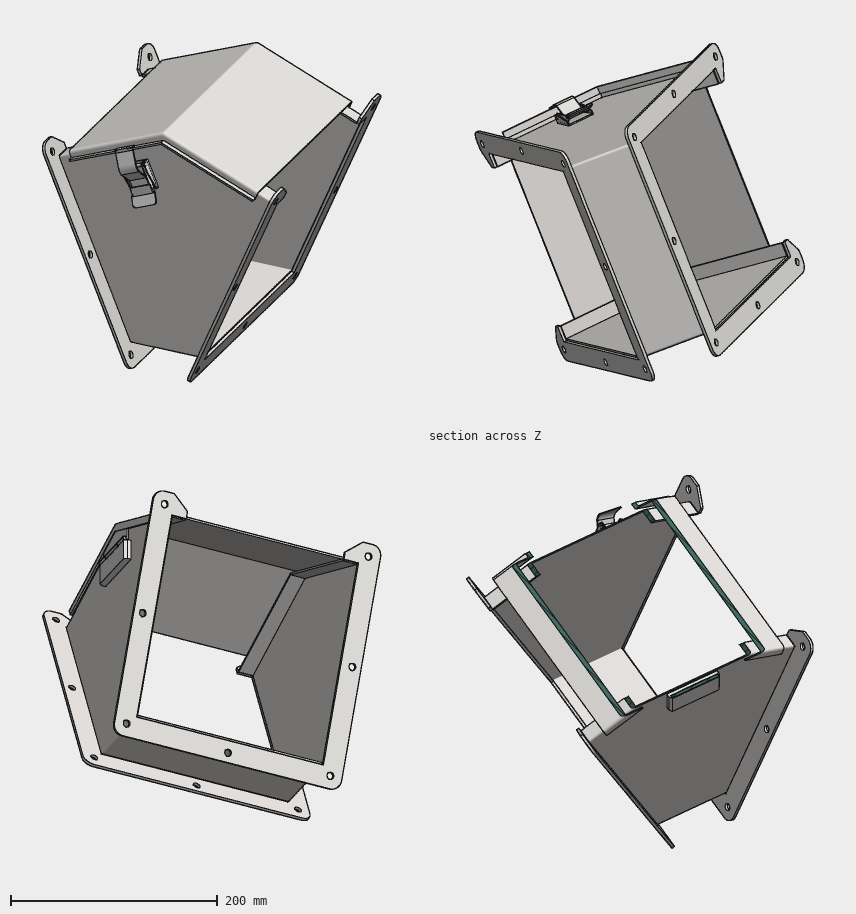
import cadquery as cq
import math

HALF_X = 125.82
HALF_Z = 130.7
TILT = 22.5
SIN = math.sin(math.radians(TILT))
COS = math.cos(math.radians(TILT))
TAN = SIN / COS
OVERCUT = 26.1

FLANGE_SIDE = 244.5
FLANGE_T = 3.0
FLANGE_CORNER_R = 10.5
WINDOW_HALF = 100.5
WINDOW_LOW = 21.5
WINDOW_HIGH = 223.5
TAB_TIP = 85.0
TAB_ROOT = 102.0
TAB_TIP_HEIGHT = 230.5
HOLE_DIA = 7.0
CORNER_HOLE_INSET = 12.5
EDGE_HOLE_INSET = 9.5

SHEET_T = 2.0
BEND_INNER_R = 0.5
BEND_OUTER_R = BEND_INNER_R + SHEET_T
DUCT_FRONT = -102.5
DUCT_REAR = WINDOW_HALF
DUCT_BOTTOM = -109.5
DUCT_ROOF_DEPTH = 5.2
ROOF_RETURN_EDGE = 85.0

LID_T = SHEET_T
LID_BEND_R = 3.5
CREASE_R = 4.0
CREASE_RISE = CREASE_R * (1 / COS - 1)
LID_APEX = HALF_Z + CREASE_RISE
LID_HALF_X = 101.5
LID_FRONT = -109.0
LID_REAR = 104.5
SKIRT_DEPTH = 9.1
LIP_T = 1.8
LIP_FRONT = -114.2

PIN_Y = 106.5
PIN_Z = 98.5
KNUCKLE_DIA = 4.7
HINGE_PIN_DIA = 3.1
HINGE_HALF = 26.1
MIDDLE_KNUCKLE_HALF = 13.0
LID_LEAF_T = 1.3
WALL_LEAF_HALF = 28.2
WALL_LEAF_FRONT = 107.7
WALL_LEAF_TAPER = 3.1
WALL_LEAF_TAPER_WIDTH = 2.0
WALL_LEAF_LOW = 75.0

LATCH_X = -39.0
LIP_EDGE = LIP_FRONT - DUCT_FRONT
HOOK_HALF = 10.0
HOOK_T = 1.3
HOOK_BACK = -8.0
HANDLE_HALF = 13.3
HANDLE_CORNER_R = 3.1
STEP_HALF = 11.5
EAR_T = 1.0
BASE_T = 1.3
BASE_HALF = 13.8
BASE_TOP = -16.2
BASE_BOTTOM = -46.5
LATCH_PIN_DIA = 3.5
LATCH_PIN_Y = -5.7
LATCH_PIN_Z = -18.8


def roof_z(depth, x=0.0):
    """Height of the roof slope lying `depth` below the lid's top face."""
    return LID_APEX - depth / COS - abs(x) * TAN


def extrude_y(points, y_from, y_to):
    """Prism along Y over an outline in X and Z."""
    sketch = cq.Workplane("XZ", origin=(0, y_from, 0)).polyline(points).close()
    return sketch.extrude(y_from - y_to)


def block(x_from, x_to, y_from, y_to, z_from, z_to):
    size = (x_to - x_from, y_to - y_from, z_to - z_from)
    return cq.Workplane("XY").box(*size, centered=False).translate((x_from, y_from, z_from))


def rod_x(dia, x_from, x_to, y, z):
    return cq.Workplane("YZ", origin=(x_from, y, z)).circle(dia / 2).extrude(x_to - x_from)


def make_left_flange():
    foot = (FLANGE_SIDE * SIN - HALF_X, 0, -HALF_Z)
    plane = cq.Plane(origin=foot, xDir=(-SIN, 0, COS), normal=(COS, 0, SIN))
    half = FLANGE_SIDE / 2
    flange = (
        cq.Workplane(plane)
        .moveTo(half, 0)
        .rect(FLANGE_SIDE, FLANGE_SIDE)
        .extrude(FLANGE_T)
        .edges(cq.selectors.ParallelDirSelector(cq.Vector(COS, 0, SIN)))
        .fillet(FLANGE_CORNER_R)
    )
    opening = (
        cq.Workplane(plane)
        .polyline([
            (WINDOW_LOW, -WINDOW_HALF),
            (WINDOW_HIGH, -WINDOW_HALF),
            (WINDOW_HIGH, -TAB_TIP),
            (TAB_TIP_HEIGHT, -TAB_TIP),
            (FLANGE_SIDE, -TAB_ROOT),
            (FLANGE_SIDE, TAB_ROOT),
            (TAB_TIP_HEIGHT, TAB_TIP),
            (WINDOW_HIGH, TAB_TIP),
            (WINDOW_HIGH, WINDOW_HALF),
            (WINDOW_LOW, WINDOW_HALF),
        ])
        .close()
        .extrude(FLANGE_T)
    )
    corner = half - CORNER_HOLE_INSET
    edge = half - EDGE_HOLE_INSET
    hole_points = [(half + i * corner, j * corner) for i in (-1, 1) for j in (-1, 1)]
    hole_points += [(half, -edge), (half, edge), (half - edge, 0)]
    holes = cq.Workplane(plane).pushPoints(hole_points).circle(HOLE_DIA / 2).extrude(FLANGE_T)
    return flange.cut(opening).cut(holes)


def make_duct():
    inner_foot_x = HALF_X - FLANGE_SIDE * SIN - FLANGE_T * COS
    inner_foot_z = -HALF_Z + FLANGE_T * SIN

    def half_width(z):
        """Distance from the middle to a flange's inner face at height z."""
        return inner_foot_x + (z - inner_foot_z) * TAN

    eaves_x = half_width(roof_z(DUCT_ROOF_DEPTH)) / (1 + TAN * TAN)
    eaves_z = roof_z(DUCT_ROOF_DEPTH, eaves_x)
    foot_x = half_width(DUCT_BOTTOM)
    outline = [
        (-foot_x, DUCT_BOTTOM),
        (foot_x, DUCT_BOTTOM),
        (eaves_x, eaves_z),
        (0, roof_z(DUCT_ROOF_DEPTH)),
        (-eaves_x, eaves_z),
    ]
    duct = extrude_y(outline, DUCT_FRONT, DUCT_REAR)
    duct = duct.edges("<Z and |X").fillet(BEND_OUTER_R)
    left_slope = cq.selectors.ParallelDirSelector(cq.Vector(COS, 0, SIN))
    right_slope = cq.selectors.ParallelDirSelector(cq.Vector(COS, 0, -SIN))
    duct = duct.edges(left_slope + right_slope).fillet(BEND_OUTER_R)

    reach = HALF_X + OVERCUT
    inner_depth = DUCT_ROOF_DEPTH + SHEET_T
    inside = extrude_y(
        [
            (-reach, DUCT_BOTTOM + SHEET_T),
            (reach, DUCT_BOTTOM + SHEET_T),
            (reach, roof_z(inner_depth, reach)),
            (0, roof_z(inner_depth)),
            (-reach, roof_z(inner_depth, reach)),
        ],
        DUCT_FRONT + SHEET_T,
        DUCT_REAR - SHEET_T,
    )
    inside = inside.edges("<Z and |X").fillet(BEND_INNER_R)
    roof_opening = block(-reach, reach, -ROOF_RETURN_EDGE, ROOF_RETURN_EDGE, 0, HALF_Z)
    return duct.cut(inside).cut(roof_opening)


def roof_band(half_x, depth_from, depth_to, y_from, y_to):
    """Inverted-V band following the roof, with ends square to the slope."""

    def end(depth):
        x = half_x - depth * SIN
        return x, roof_z(depth, half_x) + depth * SIN * TAN

    right_top = end(depth_from)
    right_low = end(depth_to)
    return extrude_y(
        [
            (0, roof_z(depth_from)),
            right_top,
            right_low,
            (0, roof_z(depth_to)),
            (-right_low[0], right_low[1]),
            (-right_top[0], right_top[1]),
        ],
        y_from,
        y_to,
    )


def make_lid():
    lid = roof_band(LID_HALF_X, 0, SKIRT_DEPTH, LID_FRONT, LID_REAR)
    lid = lid.edges("|Y and >Z").fillet(CREASE_R)
    for y in (LID_FRONT, LID_REAR):
        crease_arc = cq.selectors.NearestToPointSelector((0, y, HALF_Z))
        lid = lid.edges(crease_arc).fillet(LID_BEND_R)
    inside = roof_band(
        LID_HALF_X + OVERCUT, LID_T, SKIRT_DEPTH + OVERCUT, LID_FRONT + LID_T, LID_REAR - LID_T
    )
    lip = roof_band(LID_HALF_X, SKIRT_DEPTH - LIP_T, SKIRT_DEPTH, LIP_FRONT, LID_FRONT + LID_T)
    return lid.cut(inside).union(lip)


def make_lid_leaf():
    y_from = LID_REAR - LID_T
    leaf = extrude_y(
        [
            (-HINGE_HALF, PIN_Z),
            (HINGE_HALF, PIN_Z),
            (HINGE_HALF, roof_z(SKIRT_DEPTH, HINGE_HALF)),
            (0, roof_z(SKIRT_DEPTH)),
            (-HINGE_HALF, roof_z(SKIRT_DEPTH, HINGE_HALF)),
        ],
        y_from,
        y_from + LID_LEAF_T,
    )
    web_top = PIN_Z + KNUCKLE_DIA / 2
    leaf = leaf.union(block(-HINGE_HALF, HINGE_HALF, y_from, PIN_Y, PIN_Z, web_top))
    leaf = leaf.union(rod_x(KNUCKLE_DIA, -HINGE_HALF, HINGE_HALF, PIN_Y, PIN_Z))
    middle = block(
        -MIDDLE_KNUCKLE_HALF, MIDDLE_KNUCKLE_HALF,
        y_from + LID_LEAF_T, PIN_Y + KNUCKLE_DIA,
        PIN_Z - KNUCKLE_DIA, web_top,
    )
    pin_hole = rod_x(HINGE_PIN_DIA, -HINGE_HALF, HINGE_HALF, PIN_Y, PIN_Z)
    return leaf.cut(middle).cut(pin_hole)


def make_wall_leaf():
    top = PIN_Z - KNUCKLE_DIA / 2
    tapered_half = WALL_LEAF_HALF - WALL_LEAF_TAPER_WIDTH
    leaf = (
        cq.Workplane("XY", origin=(0, 0, WALL_LEAF_LOW))
        .polyline([
            (-WALL_LEAF_HALF, DUCT_REAR),
            (WALL_LEAF_HALF, DUCT_REAR),
            (WALL_LEAF_HALF, WALL_LEAF_FRONT - WALL_LEAF_TAPER),
            (tapered_half, WALL_LEAF_FRONT),
            (-tapered_half, WALL_LEAF_FRONT),
            (-WALL_LEAF_HALF, WALL_LEAF_FRONT - WALL_LEAF_TAPER),
        ])
        .close()
        .extrude(top - WALL_LEAF_LOW)
    )
    half = MIDDLE_KNUCKLE_HALF
    leaf = leaf.union(block(-half, half, PIN_Y - KNUCKLE_DIA / 2, PIN_Y, top, PIN_Z))
    leaf = leaf.union(rod_x(KNUCKLE_DIA, -half, half, PIN_Y, PIN_Z))
    return leaf.cut(rod_x(HINGE_PIN_DIA, -half, half, PIN_Y, PIN_Z))


def make_hinge_pin():
    return rod_x(HINGE_PIN_DIA, -HINGE_HALF, HINGE_HALF, PIN_Y, PIN_Z)


def place_latch(body):
    """Turn a latch body square to the left roof slope and set it on the front wall."""
    turned = body.rotate((0, 0, 0), (0, 1, 0), -TILT)
    return turned.translate((LATCH_X, DUCT_FRONT, roof_z(SKIRT_DEPTH, LATCH_X)))


def latch_profile(points, half_width):
    """Prism across the latch over an outline in y and z."""
    sketch = cq.Workplane("YZ", origin=(-half_width, 0, 0)).polyline(points).close()
    return sketch.extrude(2 * half_width)


def add_ears(body, outline, outer_half):
    """Join a pair of upright ears whose outer faces are at `outer_half`."""
    ear_middle = outer_half - EAR_T / 2
    for side in (-1, 1):
        ear = latch_profile(outline, EAR_T / 2).translate((side * ear_middle, 0, 0))
        body = body.union(ear)
    return body


def make_hook():
    hook = (
        cq.Workplane("YZ", origin=(-HOOK_HALF, 0, 0))
        .moveTo(HOOK_BACK, LIP_T)
        .lineTo(LIP_EDGE, LIP_T)
        .lineTo(LIP_EDGE, 0)
        .lineTo(-15.7, -11.8)
        .threePointArc((-16.85, -16.2), (-16.0, -20.6))
        .lineTo(-7.8, -30.3)
        .lineTo(-7.8, -32.1)
        .lineTo(-17.5, -21.5)
        .threePointArc((-18.3, -16.2), (-17.0, -11.2))
        .lineTo(LIP_EDGE - HOOK_T, 0)
        .lineTo(LIP_EDGE - HOOK_T, LIP_T + HOOK_T)
        .lineTo(HOOK_BACK, LIP_T + HOOK_T)
        .close()
        .extrude(2 * HOOK_HALF)
    )
    return place_latch(hook)


def make_lever():
    plate = latch_profile([(-7.8, -28.7), (-7.8, -39.2), (-6.5, -39.2), (-6.5, -28.7)], HOOK_HALF)
    step = latch_profile([(-9.5, -39.2), (-9.5, -48.3), (-6.5, -48.3), (-6.5, -39.2)], STEP_HALF)
    handle = latch_profile([(-9.5, -48.3), (-13.8, -58.5), (-12.5, -59.0), (-7.3, -47.0)], HANDLE_HALF)
    handle = handle.faces("<Z").edges("<X or >X").fillet(HANDLE_CORNER_R)
    lever = plate.union(step).union(handle)
    ear_outline = [(-2.4, BASE_TOP), (-2.4, -39.2), (-6.5, -48.3), (-9.5, -48.3), (-9.5, BASE_TOP)]
    lever = add_ears(lever, ear_outline, STEP_HALF)
    lever = lever.cut(rod_x(LATCH_PIN_DIA, -BASE_HALF, BASE_HALF, LATCH_PIN_Y, LATCH_PIN_Z))
    return place_latch(lever)


def make_latch_base():
    base = block(-BASE_HALF, BASE_HALF, -BASE_T, 0, BASE_BOTTOM, BASE_TOP)
    ear_outline = [(0, BASE_TOP), (0, BASE_BOTTOM), (-4.0, BASE_BOTTOM), (-9.0, -26.1), (-9.0, BASE_TOP)]
    base = add_ears(base, ear_outline, BASE_HALF)
    pin = rod_x(LATCH_PIN_DIA, -BASE_HALF, BASE_HALF, LATCH_PIN_Y, LATCH_PIN_Z)
    return place_latch(base.union(pin))


left_flange = make_left_flange()
right_flange = left_flange.mirror("YZ")
duct = make_duct()
lid = make_lid()
lid_leaf = make_lid_leaf()
wall_leaf = make_wall_leaf()
hinge_pin = make_hinge_pin()
hook = make_hook()
lever = make_lever()
latch_base = make_latch_base()

result = cq.Compound.makeCompound([
    left_flange.val(),
    right_flange.val(),
    duct.val(),
    lid.val(),
    lid_leaf.val(),
    wall_leaf.val(),
    hinge_pin.val(),
    hook.val(),
    lever.val(),
    latch_base.val(),
])